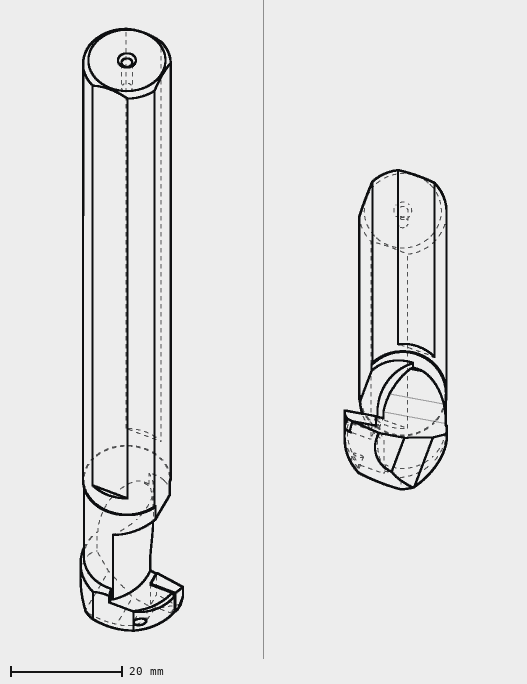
import cadquery as cq
import math

TOTAL_LENGTH = 161.0
SHANK_RADIUS = 7.9
SHANK_BOTTOM = 36.5
FLAT_DISTANCE = 7.1
FLAT_BOTTOM = 41.5
TOP_CHAMFER = 1.0
BORE_RADIUS = 1.0
BORE_DEPTH = 8.0
BORE_MOUTH_RADIUS = 1.6
CUTTER_SIZE = 64.4

NECK_RADIUS = 7.7
NECK_SIDE_X = 4.2
NECK_EDGE_X = 0.8
RELIEF_TOP = 32.5
RELIEF_LOW = 30.0

RAKE_ANGLE = -9.0
RAKE_DISTANCE = 1.8
RAMP_TOP_DEPTH = 7.4
RAMP_TOP = 26.7
RAMP_MID_DEPTH = 3.7
RAMP_MID = 20.8
RAMP_BOTTOM = 15.0
RAMP_ARC = (2.5, 18.0)
OVERSHOOT = 1.6

HEAD_LEFT_START = (-7.1, 3.5)
HEAD_LEFT_ARC = (-8.0, 0.0)
HEAD_RIGHT_ARC = (8.4, -6.1)
HEAD_FRONT_Y = -8.5
HEAD_FLAT_LEFT = -2.7
HEAD_FLAT_RIGHT = 5.3
HEAD_RIGHT_X = 10.3
HEAD_RIGHT_Y = -1.8
HEAD_TOP = 13.8
SHOULDER_DROP = 1.8
SHOULDER_RADIUS = 9.0
HEAD_LEDGE_X = 0.5
HEAD_LEDGE = 10.8
NOSE_RADIUS = 5.0
LEFT_BEVEL = [(-8.0, 9.2), (-4.8, 3.9), (0.3, 0.0)]
PORT_RADIUS = 1.0
PORT_X = 6.3
PORT_Z = 7.5
PORT_DEPTH = 2.4

TIP_INNER_X = 5.5
TIP_OUTER_X = 11.1
TIP_HEEL_X = 10.5
TIP_TOP = 11.1
TIP_BOTTOM = 4.7
TIP_EDGE_BOTTOM = 8.2


def make_shank():
    shank = (
        cq.Workplane("XY", origin=(0, 0, SHANK_BOTTOM))
        .circle(SHANK_RADIUS)
        .extrude(TOTAL_LENGTH - SHANK_BOTTOM)
        .faces(">Z").chamfer(TOP_CHAMFER)
    )
    for side in (-1, 1):
        flat = cq.Workplane("XY", origin=(0, 0, FLAT_BOTTOM)).center(
            0, side * (FLAT_DISTANCE + CUTTER_SIZE / 2)
        ).rect(CUTTER_SIZE, CUTTER_SIZE).extrude(TOTAL_LENGTH)
        shank = shank.cut(flat)
    bore = (
        cq.Workplane("XY", origin=(0, 0, TOTAL_LENGTH - BORE_DEPTH))
        .circle(BORE_RADIUS)
        .extrude(BORE_DEPTH)
    )
    mouth_depth = BORE_MOUTH_RADIUS - BORE_RADIUS
    mouth = cq.Solid.makeCone(
        BORE_RADIUS, BORE_MOUTH_RADIUS, mouth_depth, pnt=(0, 0, TOTAL_LENGTH - mouth_depth)
    )
    return shank.cut(bore).cut(cq.Workplane(mouth))


def make_neck():
    neck = cq.Workplane("XY").circle(NECK_RADIUS).extrude(SHANK_BOTTOM)
    edge_y_squared = NECK_RADIUS**2 - NECK_EDGE_X**2
    relief_width = NECK_SIDE_X - NECK_EDGE_X
    center_x = (NECK_SIDE_X + NECK_EDGE_X - edge_y_squared / relief_width) / 2
    core = cq.Workplane("XY").center(center_x, 0).circle(NECK_SIDE_X - center_x).extrude(SHANK_BOTTOM)
    slope = (RELIEF_TOP - RELIEF_LOW) / (FLAT_DISTANCE - NECK_EDGE_X)
    far_x = 2 * FLAT_DISTANCE
    far_top = RELIEF_TOP + slope * (far_x - FLAT_DISTANCE)
    relief = (
        cq.Workplane("XZ")
        .polyline([(NECK_EDGE_X, 0), (far_x, 0), (far_x, far_top), (NECK_EDGE_X, RELIEF_LOW)])
        .close()
        .extrude(CUTTER_SIZE / 2, both=True)
    )
    return neck.cut(relief.cut(core))


def make_head_blank():
    outline = (
        cq.Workplane("XY")
        .moveTo(*HEAD_LEFT_START)
        .threePointArc(HEAD_LEFT_ARC, (HEAD_FLAT_LEFT, HEAD_FRONT_Y))
        .lineTo(HEAD_FLAT_RIGHT, HEAD_FRONT_Y)
        .threePointArc(HEAD_RIGHT_ARC, (HEAD_RIGHT_X, HEAD_RIGHT_Y))
        .lineTo(HEAD_RIGHT_X, SHANK_RADIUS)
        .lineTo(HEAD_LEFT_START[0], SHANK_RADIUS)
        .close()
    )
    head = outline.extrude(HEAD_TOP)
    slope = SHOULDER_DROP / (SHOULDER_RADIUS - NECK_RADIUS)
    shoulder_apex = HEAD_TOP + slope * NECK_RADIUS
    shoulder_reach = shoulder_apex / slope
    envelope = cq.Workplane(cq.Solid.makeCone(shoulder_reach, 0, shoulder_apex))
    ledge = cq.Workplane("XY", origin=(HEAD_LEDGE_X, 0, HEAD_LEDGE)).box(
        CUTTER_SIZE, CUTTER_SIZE, CUTTER_SIZE, centered=(False, True, False)
    )
    return head.intersect(envelope).cut(ledge)


def trim_head_bottom(body):
    left = (
        cq.Workplane("XZ")
        .polyline(LEFT_BEVEL + [(-2 * SHANK_RADIUS, 0), (-2 * SHANK_RADIUS, LEFT_BEVEL[0][1])])
        .close()
        .extrude(CUTTER_SIZE / 2, both=True)
    )
    nose = cq.Workplane(cq.Solid.makeCone(NOSE_RADIUS, NOSE_RADIUS + CUTTER_SIZE, CUTTER_SIZE))
    return body.cut(left).intersect(nose)


def make_rake_cutter():
    return (
        cq.Workplane("YZ")
        .moveTo(RAKE_DISTANCE, -OVERSHOOT)
        .lineTo(RAKE_DISTANCE, RAMP_BOTTOM)
        .threePointArc(RAMP_ARC, (RAMP_MID_DEPTH, RAMP_MID))
        .lineTo(RAMP_TOP_DEPTH, RAMP_TOP)
        .lineTo(2 * SHANK_RADIUS, RAMP_TOP)
        .lineTo(2 * SHANK_RADIUS, -OVERSHOOT)
        .close()
        .extrude(CUTTER_SIZE / 2, both=True)
        .rotate((0, 0, 0), (0, 0, 1), RAKE_ANGLE)
    )


def make_tip():
    plan = (
        cq.Workplane("XY", origin=(0, 0, TIP_BOTTOM))
        .polyline([
            (TIP_INNER_X, HEAD_RIGHT_Y),
            (TIP_HEEL_X, HEAD_RIGHT_Y),
            (TIP_OUTER_X, rake_y(TIP_OUTER_X)),
            (TIP_INNER_X, rake_y(TIP_INNER_X)),
        ])
        .close()
        .extrude(TIP_TOP - TIP_BOTTOM)
    )
    profile = (
        cq.Workplane("XZ")
        .polyline([
            (TIP_INNER_X, TIP_BOTTOM),
            (TIP_HEEL_X, TIP_BOTTOM),
            (TIP_OUTER_X, TIP_EDGE_BOTTOM),
            (TIP_OUTER_X, TIP_TOP),
            (TIP_INNER_X, TIP_TOP),
        ])
        .close()
        .extrude(CUTTER_SIZE / 2, both=True)
    )
    return plan.intersect(profile)


def rake_y(x):
    """Y of the rake plane at a given X."""
    angle = math.radians(RAKE_ANGLE)
    return RAKE_DISTANCE / math.cos(angle) + x * math.tan(angle)


def make_bar(rake_cutter, tip):
    head = trim_head_bottom(make_head_blank())
    neck = trim_head_bottom(make_neck())
    side_flat = cq.Workplane("XY", origin=(FLAT_DISTANCE, 0, HEAD_TOP)).box(
        CUTTER_SIZE, CUTTER_SIZE, TOTAL_LENGTH, centered=(False, True, False)
    )
    port = (
        cq.Workplane("XZ", origin=(0, HEAD_FRONT_Y, 0))
        .center(PORT_X, PORT_Z)
        .circle(PORT_RADIUS)
        .extrude(-PORT_DEPTH)
    )
    bar = make_shank().union(neck).cut(side_flat).union(head)
    return bar.cut(rake_cutter).cut(port).cut(tip)


rake_cutter = make_rake_cutter()
tip = trim_head_bottom(make_tip())
bar = make_bar(rake_cutter, tip)

result = cq.Compound.makeCompound([bar.val(), tip.val()])